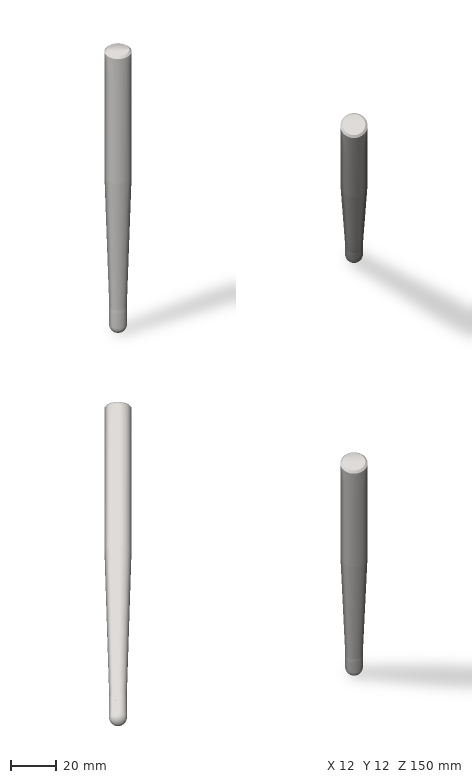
import cadquery as cq
import math

overall_length = 150.0
shank_diameter = 12.0
ball_diameter = 8.0
neck_diameter = 7.8
cutter_length = 10.5
neck_start = 12.2
taper_start = 14.0
shank_start = 82.5
top_chamfer = 1.0

shank_radius = shank_diameter / 2
ball_radius = ball_diameter / 2
neck_radius = neck_diameter / 2


def revolve_about_z(profile):
    """Turn a closed half profile, drawn as (radius, height), about Z."""
    return profile.close().revolve(360, (0, 0, 0), (0, 1, 0))


def make_cutter():
    """Cylindrical cutting end with a hemispherical tip."""
    arc_offset = ball_radius * math.sqrt(0.5)
    arc_middle = (arc_offset, ball_radius - arc_offset)
    profile = (
        cq.Workplane("XZ")
        .moveTo(0, 0)
        .threePointArc(arc_middle, (ball_radius, ball_radius))
        .lineTo(ball_radius, cutter_length)
        .lineTo(0, cutter_length)
    )
    return revolve_about_z(profile)


def make_holder():
    """Short collar stepping down to the neck, long taper and cylindrical shank with a chamfered top."""
    profile = (
        cq.Workplane("XZ")
        .moveTo(0, cutter_length)
        .lineTo(ball_radius, cutter_length)
        .lineTo(ball_radius, neck_start)
        .lineTo(neck_radius, taper_start)
        .lineTo(shank_radius, shank_start)
        .lineTo(shank_radius, overall_length - top_chamfer)
        .lineTo(shank_radius - top_chamfer, overall_length)
        .lineTo(0, overall_length)
    )
    return revolve_about_z(profile)


cutter = make_cutter()
holder = make_holder()

result = cq.Compound.makeCompound([cutter.val(), holder.val()])